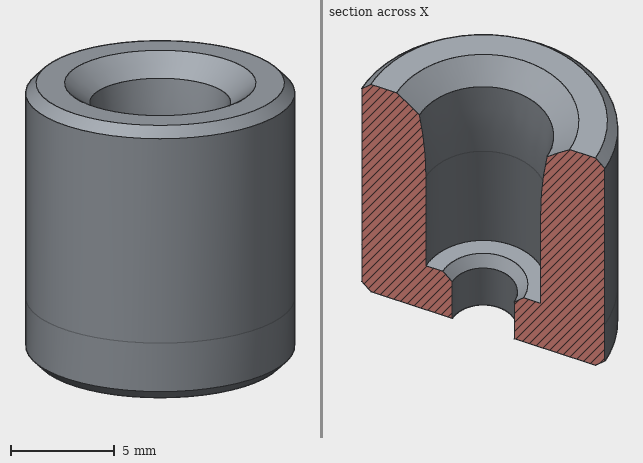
import cadquery as cq
import math

height = 14
body_diameter = 13.0
foot_height = 3.0
edge_chamfer = 0.5

mouth_diameter = 9.24
throat_diameter = 6.8
mouth_depth = 1.0
pocket_diameter = 6.1
lead_in_end_depth = 5.0

hole_diameter = 3.3
countersink_depth = 0.5

body_radius = body_diameter / 2
mouth_radius = mouth_diameter / 2
throat_radius = throat_diameter / 2
pocket_radius = pocket_diameter / 2
hole_radius = hole_diameter / 2
countersink_radius = hole_radius + countersink_depth
throat_z = height - mouth_depth
pocket_top_z = height - lead_in_end_depth

lead_in_height = throat_z - pocket_top_z
lead_in_step = throat_radius - pocket_radius
lead_in_radius = (lead_in_height**2 + lead_in_step**2) / (2 * lead_in_step)
half_arc_angle = math.asin(lead_in_height / lead_in_radius) / 2
lead_in_mid_point = (
    pocket_radius + lead_in_radius * (1 - math.cos(half_arc_angle)),
    pocket_top_z + lead_in_radius * math.sin(half_arc_angle),
)


def make_foot():
    foot = cq.Workplane("XY").circle(body_radius).extrude(foot_height)
    return foot.faces("<Z").chamfer(edge_chamfer)


def make_sleeve():
    sleeve_base = cq.Workplane("XY").workplane(offset=foot_height)
    sleeve = sleeve_base.circle(body_radius).extrude(height - foot_height)
    return sleeve.faces(">Z").chamfer(edge_chamfer)


def make_bore():
    """Mouth, lead-in, pocket, countersink and hole revolved from one (radius, Z) outline."""
    outline = (
        cq.Workplane("XZ")
        .moveTo(0, height)
        .lineTo(mouth_radius, height)
        .lineTo(throat_radius, throat_z)
        .threePointArc(lead_in_mid_point, (pocket_radius, pocket_top_z))
        .lineTo(pocket_radius, foot_height)
        .lineTo(countersink_radius, foot_height)
        .lineTo(hole_radius, foot_height - countersink_depth)
        .lineTo(hole_radius, 0)
        .lineTo(0, 0)
        .close()
    )
    return outline.revolve(360, (0, 0, 0), (0, 1, 0))


result = make_foot().union(make_sleeve(), clean=False).cut(make_bore(), clean=False)